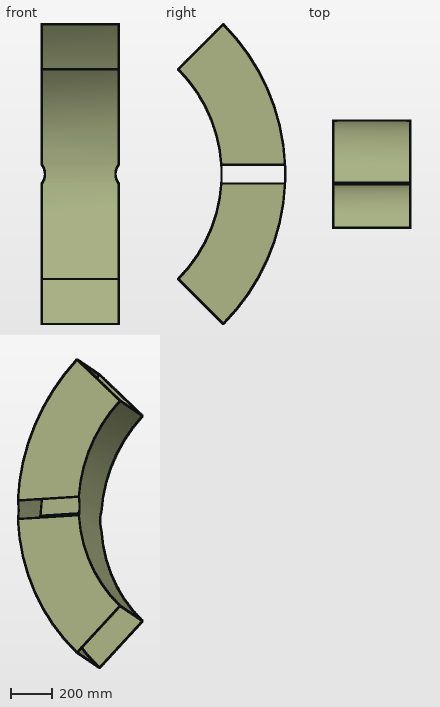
import cadquery as cq
import math

height = 1454.0
width = 375.0
duct_depth = 310.0
wall = 1.0
bend_half_angle = math.radians(45)
outer_radius = height / 2 / math.sin(bend_half_angle)
inner_radius = outer_radius - duct_depth

relief_half_height = 47.0
relief_depth = 16.0
relief_radius = (relief_half_height**2 + relief_depth**2) / (2 * relief_depth)


def bend_point(radius, angle):
    """Point in the YZ plane at an angle from +Y about the bend axis."""
    return (radius * math.cos(angle), radius * math.sin(angle))


def bend_sector(small_radius, large_radius, sector_width):
    """Solid ring sector about the X axis, centred on X = 0."""
    return (
        cq.Workplane("YZ")
        .moveTo(*bend_point(small_radius, -bend_half_angle))
        .lineTo(*bend_point(large_radius, -bend_half_angle))
        .threePointArc((large_radius, 0), bend_point(large_radius, bend_half_angle))
        .lineTo(*bend_point(small_radius, bend_half_angle))
        .threePointArc((small_radius, 0), bend_point(small_radius, -bend_half_angle))
        .close()
        .extrude(sector_width / 2, both=True)
    )


def side_relief(side):
    """Cylinder along Y, with its axis outside the side wall at side * X."""
    axis_x = side * (width / 2 - relief_depth + relief_radius)
    return (
        cq.Workplane("XZ")
        .center(axis_x, 0)
        .circle(relief_radius)
        .extrude(-(outer_radius + wall))
    )


outside = bend_sector(inner_radius, outer_radius, width)
passage = bend_sector(inner_radius + wall, outer_radius - wall, width - 2 * wall)
result = outside.cut(passage)

for side in (-1, 1):
    result = result.cut(side_relief(side))